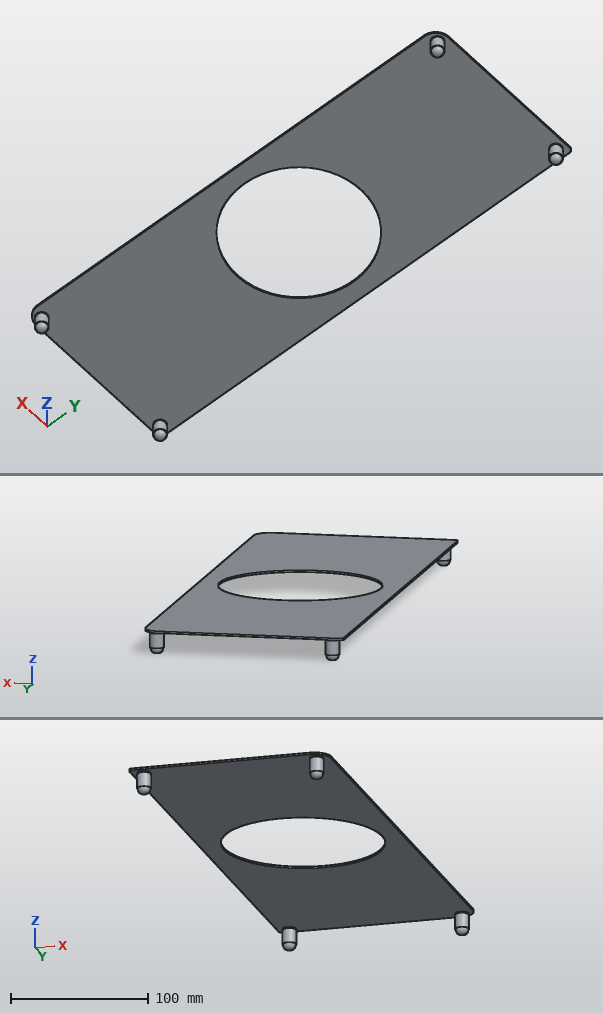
import cadquery as cq

plate_width = 150.0
plate_length = 400.0
plate_thickness = 1.5
left_corner_radius = 3.0
right_corner_radius = 12.5
opening_diameter = 120.0

overall_height = 17.9
foot_height = overall_height - plate_thickness
neck_diameter = 9.5
neck_height = 1.0
body_diameter = 10.5
tip_diameter = 9.5
tip_height = 4.5
tip_rounding = 4.0
body_height = foot_height - neck_height - tip_height

foot_inset_x = 9.5
foot_inset_y = 8.1
foot_x = plate_width / 2 - foot_inset_x
foot_y = plate_length / 2 - foot_inset_y


def make_plate():
    """Flat plate, top face at Z = 0, with a central round opening."""
    blank = cq.Workplane("XY").rect(plate_width, plate_length).extrude(-plate_thickness)
    rounded = blank.edges("|Z and <X").fillet(left_corner_radius)
    rounded = rounded.edges("|Z and >X").fillet(right_corner_radius)
    opening = cq.Workplane("XY").circle(opening_diameter / 2).extrude(-plate_thickness)
    return rounded.cut(opening)


def make_foot():
    """Round foot on the Z axis, hanging from the underside of the plate."""
    neck = cq.Workplane("XY", origin=(0, 0, -plate_thickness))
    neck = neck.circle(neck_diameter / 2).extrude(-neck_height)
    body = neck.faces("<Z").workplane().circle(body_diameter / 2).extrude(body_height)
    foot = body.faces("<Z").workplane().circle(tip_diameter / 2).extrude(tip_height)
    return foot.faces("<Z").edges().fillet(tip_rounding)


result = make_plate()
foot = make_foot()
for x in (-foot_x, foot_x):
    for y in (-foot_y, foot_y):
        result = result.union(foot.translate((x, y, 0)))